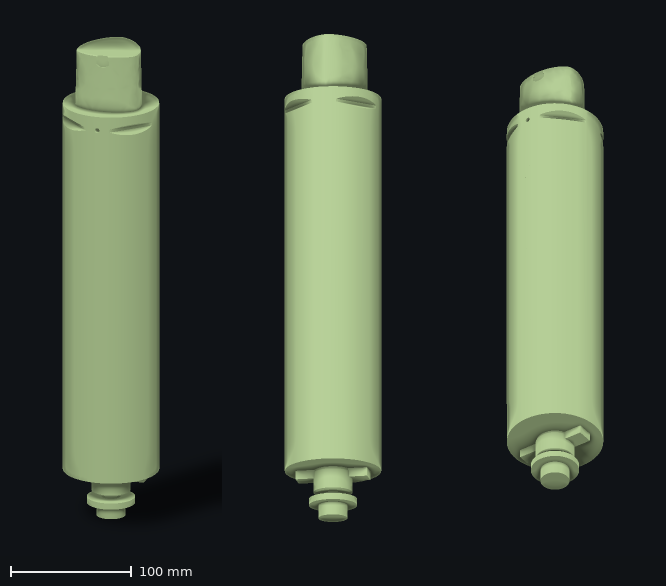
import cadquery as cq
import math

overall_height = 408.0
shoulder_z = 360.0
body_bottom_z = 40.5
undercut_bottom_z = 38.5
key_bottom_z = 33.0
pilot_bottom_z = 21.0
washer_top_z = 16.5
washer_bottom_z = 11.0

body_diameter = 80.0
undercut_diameter = 31.5
pilot_diameter = 32.5
neck_diameter = 16.0
washer_diameter = 40.0
head_diameter = 24.0
pilot_chamfer = 1.2

shank_base_radius = 27.7
shank_taper = 1 / 40
lobe_height = 2.5
shank_chamfer = 1.0
joint_overlap = 1.0

key_span = 60.5
key_width = 14.0

groove_z = 348.0
groove_floor_radius = 34.5
groove_floor_height = 2.5
groove_mouth_height = 9.0
groove_angles = (45, 135, 225, 315)

mark_hole_diameter = 4.0
mark_hole_depth = 4.0
notch_width = 9.0
notch_foot_width = 11.0
notch_tip_width = 5.0
notch_foot_top = 4.5
notch_foot_bottom = 7.8
notch_depth = 9.8
notch_floor_y = -23.3

body_radius = body_diameter / 2


def cylinder(diameter, bottom, top):
    """Cylinder on the tool axis between two heights."""
    return cq.Workplane("XY").workplane(offset=bottom).circle(diameter / 2).extrude(top - bottom)


def lobed_wire(mean_radius, height):
    """Closed constant-width curve with three lobes, one pointing to +Y."""

    def point(t):
        angle = 2 * math.pi * t + math.pi / 2
        lobe_angle = 3 * (angle - math.pi / 2)
        support = mean_radius + lobe_height * math.cos(lobe_angle)
        slope = -3 * lobe_height * math.sin(lobe_angle)
        x = support * math.cos(angle) - slope * math.sin(angle)
        y = support * math.sin(angle) + slope * math.cos(angle)
        return (x, y)

    samples = 36
    points = [cq.Vector(*point(i / samples), height) for i in range(samples)]
    return cq.Wire.assembleEdges([cq.Edge.makeSpline(points, periodic=True)])


def tapered_shank():
    def radius_at(height):
        return shank_base_radius - shank_taper * (height - shoulder_z)

    base_z = shoulder_z - joint_overlap
    chamfer_z = overall_height - shank_chamfer
    base = lobed_wire(radius_at(base_z), base_z)
    rim = lobed_wire(radius_at(chamfer_z), chamfer_z)
    end = lobed_wire(radius_at(chamfer_z) - shank_chamfer, overall_height)
    taper = cq.Solid.makeLoft([base, rim], True)
    chamfer = cq.Solid.makeLoft([rim, end], True)
    return cq.Workplane(taper).union(cq.Workplane(chamfer))


def drive_keys():
    """Bar through the pilot whose two ends form the keys."""
    height = body_bottom_z - key_bottom_z + joint_overlap
    bar = cq.Workplane("XY").box(key_span, key_width, height, centered=(True, True, False))
    return bar.translate((0, 0, key_bottom_z))


def gripper_groove(angle):
    """Straight groove with a flat floor and flaring sides, cut across the body."""
    section = [
        (groove_floor_radius, groove_z - groove_floor_height / 2),
        (body_radius, groove_z - groove_mouth_height / 2),
        (body_radius, groove_z + groove_mouth_height / 2),
        (groove_floor_radius, groove_z + groove_floor_height / 2),
    ]
    groove = cq.Workplane("XZ").polyline(section).close().extrude(body_radius, both=True)
    return groove.rotate((0, 0, 0), (0, 0, 1), angle)


def mark_hole():
    start = cq.Workplane("XZ", origin=(0, -body_radius, groove_z))
    return start.circle(mark_hole_diameter / 2).extrude(-mark_hole_depth)


def end_notch():
    """Shallow notch from the shank end, with a wider foot and a tapered tip."""
    half_outline = [
        (notch_width / 2, 0),
        (notch_width / 2, -notch_foot_top),
        (notch_foot_width / 2, -notch_foot_top),
        (notch_foot_width / 2, -notch_foot_bottom),
        (notch_tip_width / 2, -notch_depth),
    ]
    other_half = [(-x, z) for x, z in reversed(half_outline)]
    start = cq.Workplane("XZ", origin=(0, notch_floor_y, overall_height))
    return start.polyline(half_outline + other_half).close().extrude(body_radius + notch_floor_y)


pilot = cylinder(pilot_diameter, pilot_bottom_z, undercut_bottom_z).faces("<Z").chamfer(pilot_chamfer)

result = (
    cylinder(body_diameter, body_bottom_z, shoulder_z)
    .union(cylinder(undercut_diameter, undercut_bottom_z, body_bottom_z))
    .union(pilot)
    .union(cylinder(neck_diameter, washer_top_z, pilot_bottom_z))
    .union(cylinder(washer_diameter, washer_bottom_z, washer_top_z))
    .union(cylinder(head_diameter, 0, washer_bottom_z))
    .union(drive_keys())
    .union(tapered_shank())
    .cut(mark_hole())
    .cut(end_notch())
)
for groove_angle in groove_angles:
    result = result.cut(gripper_groove(groove_angle))